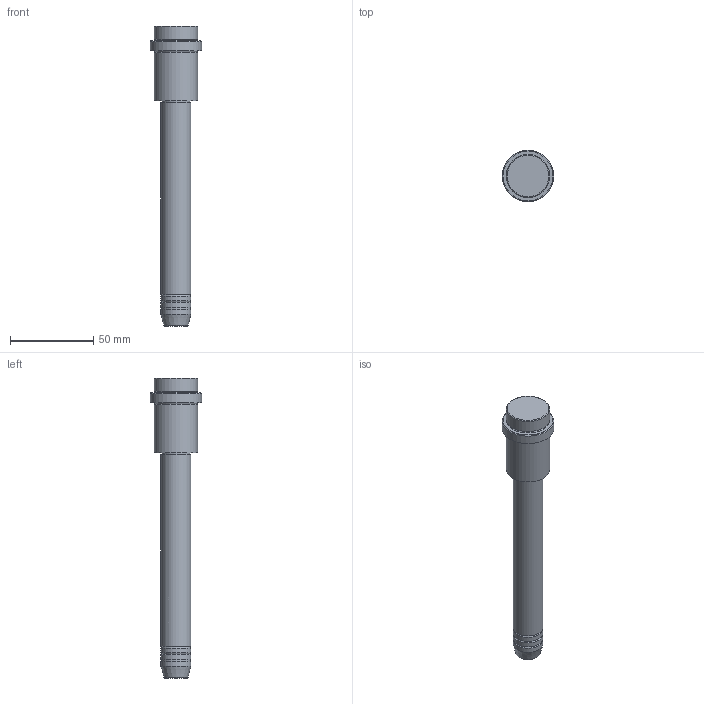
import cadquery as cq
import math

total_length = 180.0
shank_radius = 18.0 / 2
head_radius = 26.0 / 2
collar_radius = 31.0 / 2

head_top = total_length
collar_top = head_top - 9.0
collar_bottom = collar_top - 6.0
head_bottom = head_top - 45.0

head_edge_chamfer = 0.5
collar_edge_chamfer = 0.5
relief_width = 1.0
relief_depth = 0.5
neck_length = 1.0
neck_radius = shank_radius - 0.5

oil_groove_width = 1.0
oil_groove_depth = 0.5
oil_groove_count = 3
oil_groove_spacing = 3.0

tip_length = 7.0
tip_half_angle = math.radians(15.0)
tip_edge_chamfer = 0.5
tip_end_radius = shank_radius - (tip_length - tip_edge_chamfer) * math.tan(tip_half_angle)


def cylinder(radius, bottom, top):
    """Solid cylinder on the Z axis between two heights."""
    return cq.Workplane("XY").workplane(offset=bottom).circle(radius).extrude(top - bottom)


def revolve_about_axis(profile):
    """Full turn of a radius/height profile about the Z axis."""
    return profile.revolve(axisStart=(0, 0, 0), axisEnd=(0, 1, 0))


def ring_groove(surface_radius, depth, bottom, width):
    """Ring with a circular-arc section, to be removed from a cylinder of the given radius."""
    section = (
        cq.Workplane("XZ")
        .moveTo(surface_radius, bottom)
        .threePointArc((surface_radius - depth, bottom + width / 2), (surface_radius, bottom + width))
        .close()
    )
    return revolve_about_axis(section)


def make_shank():
    """Shank with a tapered lead-in tip and a neck below the head."""
    neck_bottom = head_bottom - neck_length
    outline = (
        cq.Workplane("XZ")
        .moveTo(0, 0)
        .lineTo(tip_end_radius - tip_edge_chamfer, 0)
        .lineTo(tip_end_radius, tip_edge_chamfer)
        .lineTo(shank_radius, tip_length)
        .lineTo(shank_radius, neck_bottom)
        .lineTo(neck_radius, neck_bottom)
        .lineTo(neck_radius, head_bottom)
        .lineTo(0, head_bottom)
        .close()
    )
    return revolve_about_axis(outline)


def cut_oil_grooves(shank):
    """Evenly spaced ring grooves, starting just above the tip."""
    for index in range(oil_groove_count):
        bottom = tip_length + oil_groove_spacing + index * (oil_groove_width + oil_groove_spacing)
        shank = shank.cut(ring_groove(shank_radius, oil_groove_depth, bottom, oil_groove_width))
    return shank


def make_head():
    """Head cylinder with a chamfered top and a round-bottomed relief on each side of the collar."""
    head = cylinder(head_radius, head_bottom, head_top).faces(">Z").edges().chamfer(head_edge_chamfer)
    for relief_bottom in (collar_top, collar_bottom - relief_width):
        head = head.cut(ring_groove(head_radius, relief_depth, relief_bottom, relief_width))
    return head


def make_collar():
    """Locating collar with a chamfered upper rim."""
    collar = cylinder(collar_radius, collar_bottom, collar_top)
    return collar.faces(">Z").edges().chamfer(collar_edge_chamfer)


result = cut_oil_grooves(make_shank()).union(make_head()).union(make_collar())